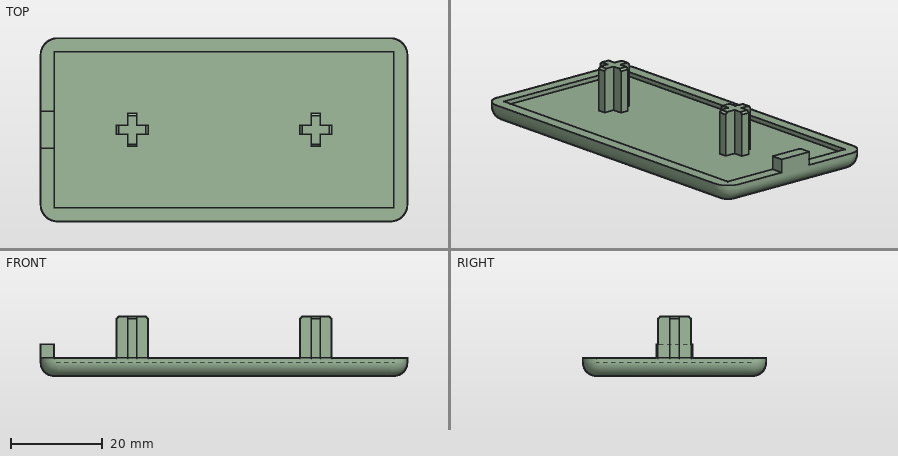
import cadquery as cq

length = 80.0
width = 40.0
tray_height = 4.0
corner_radius = 3.75
bottom_fillet = 3.0
rim_width = 3
pocket_depth = 1.0

part_height = 13.0
post_spacing = 40.0
post_span_x = 6.9
post_span_y = 7.2
rib_thickness = 2.0
post_chamfer = 0.5

tab_width = 8.0
tab_height = 3.0

floor_z = tray_height - pocket_depth
post_height = part_height - floor_z


def make_tray():
    """Rounded plate with a filleted underside and a shallow rectangular pocket."""
    plate = (
        cq.Workplane("XY")
        .box(length, width, tray_height, centered=(True, True, False))
        .edges("|Z")
        .fillet(corner_radius)
        .faces("<Z")
        .edges()
        .fillet(bottom_fillet)
    )
    pocket = (
        cq.Workplane("XY", origin=(0, 0, floor_z))
        .box(
            length - 2 * rim_width,
            width - 2 * rim_width,
            pocket_depth,
            centered=(True, True, False),
        )
    )
    return plate.cut(pocket)


def make_post(center_x):
    """Two crossing ribs on the pocket floor, with the outer top edges chamfered."""
    base = cq.Workplane("XY", origin=(center_x, 0, floor_z))
    rib_along_x = (
        base.box(post_span_x, rib_thickness, post_height, centered=(True, True, False))
        .faces(">Z")
        .edges("|Y")
        .chamfer(post_chamfer)
    )
    rib_along_y = (
        base.box(rib_thickness, post_span_y, post_height, centered=(True, True, False))
        .faces(">Z")
        .edges("|X")
        .chamfer(post_chamfer)
    )
    return rib_along_x.union(rib_along_y)


def make_tab():
    """Block as deep as the rim, rising from the middle of the -X rim."""
    return (
        cq.Workplane("XY", origin=(-length / 2, 0, floor_z))
        .box(rim_width, tab_width, pocket_depth + tab_height, centered=(False, True, False))
    )


result = make_tray().union(make_tab())
for side in (-1, 1):
    result = result.union(make_post(side * post_spacing / 2))